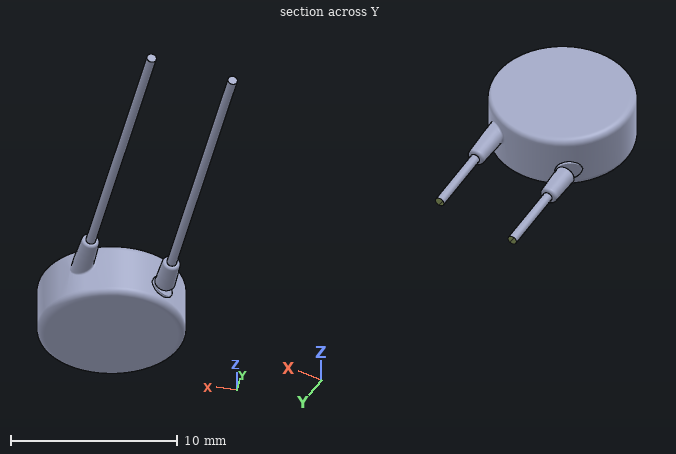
import cadquery as cq

can_diameter = 9.0
can_height = 3.6
can_edge_radius = 0.45

lead_spacing = 4.96
lead_height_step = 1.0
wire_diameter = 0.6
wire_exposed_length = 20.0

sleeve_reach = 2.0
sleeve_root_diameter = 1.25
sleeve_tip_diameter = 1.1
sleeve_tip_radius = 0.2
sleeve_blend_radius = 0.12
sleeve_taper_start_y = 4.3

can_radius = can_diameter / 2
sleeve_tip_y = can_radius + sleeve_reach
wire_tip_y = sleeve_tip_y + wire_exposed_length
sleeve_inner_y = can_radius / 2

lead_positions = [
    (side * lead_spacing / 2, side * lead_height_step / 2)
    for side in (-1, 1)
]


def make_can():
    """Plain disc, its rims still sharp."""
    return cq.Workplane("XY").circle(can_radius).extrude(can_height / 2, both=True)


def make_sleeve(x, z):
    """Round sleeve along +Y with a straight root, tapered body and rounded tip."""
    root_radius = sleeve_root_diameter / 2
    tip_radius = sleeve_tip_diameter / 2
    sleeve = (
        cq.Workplane("XY")
        .moveTo(0, sleeve_inner_y)
        .lineTo(root_radius, sleeve_inner_y)
        .lineTo(root_radius, sleeve_taper_start_y)
        .lineTo(tip_radius, sleeve_tip_y)
        .lineTo(0, sleeve_tip_y)
        .close()
        .revolve(360, (0, 0, 0), (0, 1, 0))
        .faces(">Y")
        .edges()
        .fillet(sleeve_tip_radius)
    )
    return sleeve.translate((x, 0, z))


def make_wire(x, z):
    """Straight round wire starting inside the sleeve."""
    wire = cq.Solid.makeCylinder(
        wire_diameter / 2,
        wire_tip_y - sleeve_inner_y,
        cq.Vector(x, sleeve_inner_y, z),
        cq.Vector(0, 1, 0),
    )
    return cq.Workplane(obj=wire)


def blend_sleeves(body):
    """Fillet the curves where the sleeves enter the can wall."""
    joints = body.newObject([
        edge for edge in body.edges().vals() if edge.geomType() not in ("LINE", "CIRCLE")
    ])
    return joints.fillet(sleeve_blend_radius)


def build_part():
    body = make_can()
    for x, z in lead_positions:
        body = body.union(make_sleeve(x, z))
    body = blend_sleeves(body)
    body = body.faces("<Z or >Z").edges().fillet(can_edge_radius)
    for x, z in lead_positions:
        body = body.union(make_wire(x, z))
    return body


result = build_part()